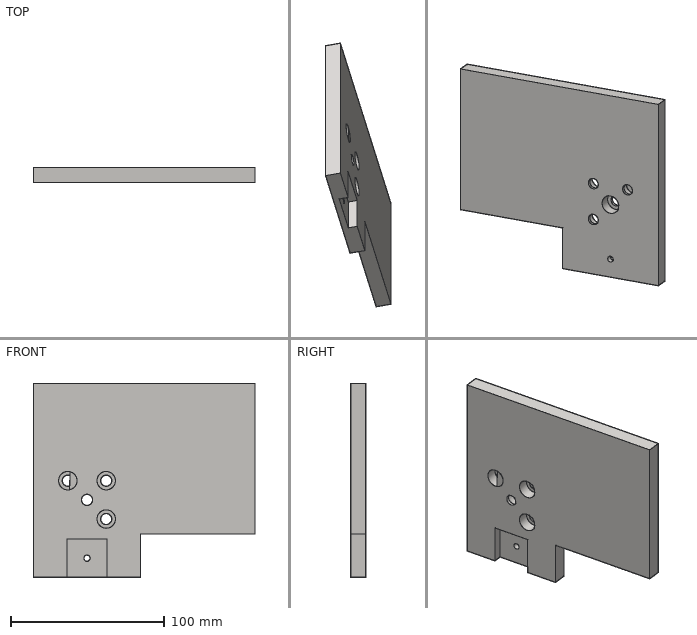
import cadquery as cq

LENGTH = 144.6
HEIGHT = 126.5
THICKNESS = 10.0
FOOT_LENGTH = 70.0
FOOT_HEIGHT = 28.4

PATTERN_X = FOOT_LENGTH / 2
PATTERN_Z = 50.6
HOLE_SPACING = 25.0
HOLE_OFFSET = HOLE_SPACING / 2
HOLE_DIAMETER = 7.1
BORE_DIAMETER = 12.0
BORE_DEPTH = 8.0

POCKET_WIDTH = 26.0
POCKET_HEIGHT = 25.2
POCKET_DEPTH = 6.0
POCKET_HOLE_DIAMETER = 3.9
POCKET_HOLE_Z = POCKET_HEIGHT / 2

INSERT_FLAT_OFFSET = 1.23
INSERT_THICKNESS = 0.1
INSERT_TILT = 2.5

LEFT_X = PATTERN_X - HOLE_OFFSET
RIGHT_X = PATTERN_X + HOLE_OFFSET
UPPER_Z = PATTERN_Z + HOLE_OFFSET
LOWER_Z = PATTERN_Z - HOLE_OFFSET
FRONT_BORE_CENTRES = [(LEFT_X, UPPER_Z), (RIGHT_X, UPPER_Z), (RIGHT_X, LOWER_Z)]


def cylinder_along_y(x, z, diameter, start_y, depth):
    """Cylinder running from start_y toward +Y."""
    return (
        cq.Workplane("XZ", origin=(x, start_y, z))
        .circle(diameter / 2)
        .extrude(-depth)
    )


def counterbored_hole(x, z, bore_start_y):
    """Through hole with a wider bore beginning at bore_start_y."""
    hole = cylinder_along_y(x, z, HOLE_DIAMETER, 0, THICKNESS)
    bore = cylinder_along_y(x, z, BORE_DIAMETER, bore_start_y, BORE_DEPTH)
    return hole.union(bore)


def make_pocket():
    return cq.Workplane("XY").box(
        POCKET_WIDTH, POCKET_DEPTH, POCKET_HEIGHT, centered=(True, False, False)
    ).translate((PATTERN_X, 0, 0))


def make_plate():
    plate = (
        cq.Workplane("XZ")
        .polyline([
            (0, 0),
            (FOOT_LENGTH, 0),
            (FOOT_LENGTH, FOOT_HEIGHT),
            (LENGTH, FOOT_HEIGHT),
            (LENGTH, HEIGHT),
            (0, HEIGHT),
        ])
        .close()
        .extrude(-THICKNESS)
    )
    for x, z in FRONT_BORE_CENTRES:
        plate = plate.cut(counterbored_hole(x, z, 0))

    plate = plate.cut(counterbored_hole(PATTERN_X, PATTERN_Z, THICKNESS - BORE_DEPTH))

    plate = plate.cut(make_pocket())
    return plate.cut(cylinder_along_y(PATTERN_X, POCKET_HOLE_Z, POCKET_HOLE_DIAMETER, 0, THICKNESS))


def make_insert():
    """Segment on the +X side of its flat, flush with the plate's front face."""
    disc = cylinder_along_y(0, 0, BORE_DIAMETER, 0, INSERT_THICKNESS)
    kept_side = cq.Workplane("XY").box(
        BORE_DIAMETER, INSERT_THICKNESS, BORE_DIAMETER, centered=(False, False, True)
    ).translate((INSERT_FLAT_OFFSET, 0, 0))
    segment = disc.intersect(kept_side)
    return segment.rotate((0, 0, 0), (0, 1, 0), INSERT_TILT).translate((LEFT_X, 0, UPPER_Z))


plate = make_plate()
insert = make_insert()

result = cq.Compound.makeCompound([plate.val(), insert.val()])